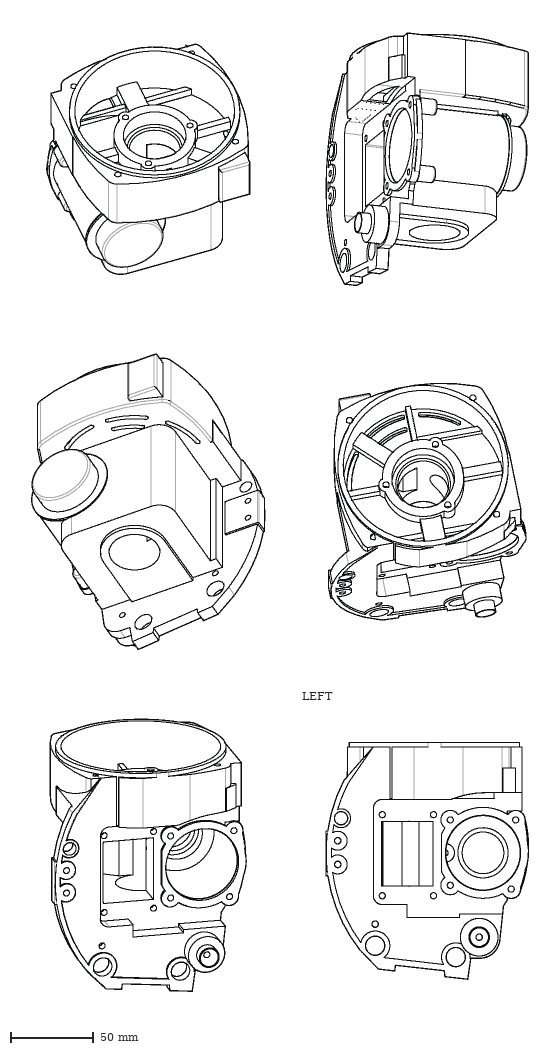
import cadquery as cq
import math


beyond = 72.0
overlap = 0.7

rim_top = 144.0
bowl_top = 141.3
bowl_bottom = 104.8
rim_radius = 51.8
bowl_inner_radius = 48.5
bowl_floor = 110.0
side_reach = 53.0
side_radius = 115.2
bowl_corner_radius = 7.2
bowl_edge_fillet = 1.3
left_flat = -51.7
left_flat_end = 12.1
shoulder_end = 25.9
shoulder_radius = 53.1
bowl_screw_offset = 38.2
bowl_screw_depth = 11.5
square_block_left = -37.7
side_face = -53.3

boss_top = 121.5
boss_radius = 24.8
boss_screw_circle = 22.9
boss_screw_angles = (90, 210, 330)
boss_lobe_radius = 4.5
boss_screw_depth = 8.6
bearing_radius = 19.0
bearing_floor = 110.0
bore_chamfer_diameter = 33.3
bore_diameter = 30.8
rib_top = 117.0
radial_ribs = ((0, 3.2), (45, 9.5), (90, 3.7), (180, 13.0), (270, 6.0))
left_rib_x = (-35.5, -32.4)
right_rib_x = (25.2, 28.7)
cross_rib_top = 115.2

slot_width = 2.7
arc_slots = ((45.0, 53.3, 85.4), (45.0, 5.3, 35.5), (36.7, 6.5, 33.9), (45.0, -39.5, -9.0))

plate_face = -45.6
plate_low_face = -44.4
plate_back = -37.9
plate_arc_radius = 95.3
plate_arc_top_angle = 27.5
plate_arc_bottom_angle = -38.4
rim_width = 3.2
screw_diameter = 3.7
plate_holes = (
    (56.7, 97.9, 7.9, 11.5),
    (58.8, 84.2, screw_diameter, 11.5),
    (58.8, 69.8, screw_diameter, 11.5),
    (36.0, 20.5, 11.5, 17.9),
    (-13.0, 13.5, 11.5, 17.3),
)
plate_pin_hole = (36.0, 33.5)
edge_pad_y = 66.0
edge_pad_fillet = 0.9
edge_pad_back = -36.7
edge_pad_start = 43.2
edge_pad_z = (63.0, 90.3)

recess_floor = -32.7
recess_side = 37.2
recess_bottom = 45.4
recess_top = 109.5
recess_raised_top = 113.5
recess_notch_y = (-15.1, 16.5)
recess_notch_bottom = 37.6
recess_front_bottom = 39.6
recess_sweep = ((-31.7, recess_raised_top), (-20.7, 112.5), (-10.4, recess_top))
recess_corner_radius = 5.8
wall_back = -29.5
wall_margin = 3.6
plate_right = -42.0
plate_top_y = 37.2
foot_outline = (
    (34.0, 6.2), (24.0, 5.0), (23.6, 8.5), (-5.9, 5.2), (-6.3, 1.6), (-20.3, 0), (-22.2, 12.8), (-28.7, 12.8),
)
pin_corner_middle = (-36.3, 16.4)
pin_corner_end = (-39.9, 24.5)
wall_step_z = (44.6, 48.2)
low_face_bottom = ((34.5, 13.7), (-11.5, 8.4), foot_outline[-2])
wall_right = -44.4
corner_bottom = 102.2
tie_start = 28.8

case_right = 28.8
case_front = -39.6
neck_front = -33.1
case_rear = 36.7
case_bottom = 36.5
case_corner_radius = 11.1
base_bottom = 34.0
base_radius = 20.7
window_y = (0.7, 32.3)
window_z = (56.6, 96.0)
window_screw_y = (0.6, 31.7)
window_screw_z = (50.8, 100.1)
window_screw_depth = 7.2
cavity_end = 15.8
cavity_slant = ((cavity_end, 9.5), (23.0, 19.6))
cavity_curve = ((18.7, 27.4), (7.2, 31.4))
cavity_step_x = -18.0
cavity_fillet = 0.7

barrel_y = -29.5
barrel_z = 76.9
barrel_radius = 25.0
collar_radius = 25.6
collar_start = 27.8
collar_end = 29.5
nose_radius = 19.7
nose_end = 41.8
nose_fillet = 1.2
barrel_bore_radius = 22.6
barrel_mouth_radius = 22.9
barrel_mouth_depth = 2.6
barrel_bore_end = 23.0
bearing_seats = ((30.5, 31.7), (25.3, 38.9))
end_pocket_radii = (5.6, 1.7)
end_pocket_depth = 5.0
end_pocket_y = -6.6
flange_face = -34.5
flange_radius = 27.6
flange_inner_limit = -4.2
flange_lobe_diameter = 11.5
flange_boss_diameter = 10.0
flange_boss_fillet = 1.2
flange_boss_end = -18.5
flange_screws = ((-49.4, 96.9), (-46.7, 54.9), (-9.6, 96.9), (-9.6, 57.2))
flange_screw_depth = 11.5
flange_front_inset = 0.7
web_top = 99.4
web_top_y = -54.7
web_bottom = 53.0
web_bottom_y = -52.0

pin_y = -27.2
pin_z = 25.6
pin_collar_diameter = 22.9
pin_collar_end = -53.5
pin_diameter = 12.5
pin_end = -59.9
pin_cone_radius = 5.6
pin_cone_depth = 5.8

outlet_root = 36.0
outlet_face = 54.6
outlet_y = (22.3, 41.8)
outlet_z = (108.3, 137.4)
outlet_fillet = 1.3
lug_outline = ((-45.4, -38.2), (-45.4, -41.8), (-39.7, -49.4), (-36.0, -49.4), (-36.0, -38.2))
lug_top = 128.3


def box(x_range, y_range, z_range):
    """Block between the given limits."""
    size = [high - low for low, high in (x_range, y_range, z_range)]
    corner = (x_range[0], y_range[0], z_range[0])
    return cq.Workplane("XY").box(*size, centered=False).translate(corner)


def cylinder_x(y, z, radius, start, end):
    """Cylinder along X."""
    return cq.Workplane("YZ", origin=(start, y, z)).circle(radius).extrude(end - start)


def cylinder_z(x, y, radius, start, end):
    """Cylinder along Z."""
    return cq.Workplane("XY", origin=(x, y, start)).circle(radius).extrude(end - start)


def cone_x(y, z, radii, start, length):
    """Cone along +X, given its start and end radii."""
    tip = cq.Vector(start, y, z)
    return cq.Workplane(cq.Solid.makeCone(*radii, length, tip, cq.Vector(1, 0, 0)))


def polar(radius, angle):
    """Point in the XY plane at a radius and an angle in degrees."""
    turn = math.radians(angle)
    return radius * math.cos(turn), radius * math.sin(turn)


def bowl_shell():
    """Four bowed sides, rounded corners, a flat and a shoulder on -X, a squared -Y side and a round rim."""
    heights = (bowl_bottom, bowl_top)
    body = box((-side_reach, side_reach), (-side_reach, side_reach), heights)
    offset = side_radius - side_reach
    for x, y in ((offset, 0), (-offset, 0), (0, offset), (0, -offset)):
        body = body.intersect(cylinder_z(x, y, side_radius, bowl_bottom, bowl_top))
    body = body.edges("|Z").fillet(bowl_corner_radius)
    body = body.union(box((square_block_left, 0), (side_face, 0), heights))
    body = body.faces("<Z").edges().fillet(bowl_edge_fillet)
    shoulder = box((-side_reach, plate_low_face), (left_flat_end, shoulder_end), heights)
    body = body.cut(shoulder.cut(cylinder_z(0, 0, shoulder_radius, *heights)))
    body = body.cut(box((-side_reach, plate_low_face), (shoulder_end, side_reach), heights))
    body = body.union(cylinder_z(0, 0, rim_radius, bowl_floor, rim_top))
    body = body.intersect(box((left_flat, side_reach), (side_face, side_reach), (0, rim_top)))
    return body.union(corner_lug())


def corner_lug():
    """Short post with a slanted outer face on the front left corner."""
    lug = cq.Workplane("XY", origin=(0, 0, recess_top)).polyline(lug_outline).close()
    return lug.extrude(lug_top - recess_top)


def outlet_pad():
    pad = box((outlet_root, outlet_face), outlet_y, outlet_z)
    return pad.edges(">X").fillet(outlet_fillet)


def bowl_interior():
    """Material removed from the bowl: the round cavity above the floor and the rim screw holes."""
    cavity = cylinder_z(0, 0, bowl_inner_radius, bowl_floor, rim_top)
    for x in (-bowl_screw_offset, bowl_screw_offset):
        for y in (-bowl_screw_offset, bowl_screw_offset):
            hole = cylinder_z(x, y, screw_diameter / 2, bowl_top - bowl_screw_depth, rim_top)
            cavity = cavity.union(hole)
    return cavity


def floor_details():
    """Bearing boss, radial ribs and the two ribs parallel to Y."""
    parts = cylinder_z(0, 0, boss_radius, bowl_bottom, boss_top)
    for angle in boss_screw_angles:
        x, y = polar(boss_screw_circle, angle)
        parts = parts.union(cylinder_z(x, y, boss_lobe_radius, bowl_bottom, boss_top))
    for angle, width in radial_ribs:
        rib = box((0, bowl_inner_radius + overlap), (-width / 2, width / 2), (bowl_bottom, rib_top))
        parts = parts.union(rib.rotate((0, 0, 0), (0, 0, 1), angle))
    inside = cylinder_z(0, 0, bowl_inner_radius + overlap, bowl_bottom, rim_top)
    left_rib = box(left_rib_x, (-bowl_inner_radius, bowl_inner_radius), (bowl_bottom, cross_rib_top))
    right_rib = box(right_rib_x, (-bowl_inner_radius, 0), (bowl_bottom, cross_rib_top))
    return parts.union(left_rib.union(right_rib).intersect(inside))


def boss_screw_holes():
    holes = cq.Workplane("XY")
    for angle in boss_screw_angles:
        x, y = polar(boss_screw_circle, angle)
        holes = holes.add(cylinder_z(x, y, screw_diameter / 2, boss_top - boss_screw_depth, boss_top))
    return holes.combine()


def arc_slot(radius, start, end):
    """Curved slot with round ends, through the bowl floor."""
    half = slot_width / 2
    middle = (start + end) / 2
    outer, inner = radius + half, radius - half
    slot = (
        cq.Workplane("XY", origin=(0, 0, bowl_bottom))
        .moveTo(*polar(inner, start))
        .threePointArc(polar(inner, middle), polar(inner, end))
        .lineTo(*polar(outer, end))
        .threePointArc(polar(outer, middle), polar(outer, start))
        .close()
        .extrude(bowl_floor - bowl_bottom)
    )
    for angle in (start, end):
        x, y = polar(radius, angle)
        slot = slot.union(cylinder_z(x, y, half, bowl_bottom, bowl_floor))
    return slot


def main_bore():
    """Bearing seat, its small chamfer and the bore straight through to the base."""
    bore_radius = bore_diameter / 2
    chamfer = (bore_chamfer_diameter - bore_diameter) / 2
    cone = cq.Workplane(cq.Solid.makeCone(
        bore_radius, bore_chamfer_diameter / 2, chamfer, cq.Vector(0, 0, bearing_floor - chamfer)))
    bore = cylinder_z(0, 0, bore_radius, 0, bearing_floor)
    return bore.union(cone).union(cylinder_z(0, 0, bearing_radius, bearing_floor, boss_top))


def plate_arc_point(radius, angle):
    """Point (y, z) on a circle about the barrel axis."""
    y, z = polar(radius, angle)
    return barrel_y + y, barrel_z + z


def plate_profile():
    """Plate outline: round on +Y, stepped foot below, tangent corner round under the pivot pin."""
    return (
        cq.Workplane("YZ", origin=(plate_face, 0, 0))
        .moveTo(plate_top_y, bowl_top)
        .lineTo(*plate_arc_point(plate_arc_radius, plate_arc_top_angle))
        .threePointArc(
            plate_arc_point(plate_arc_radius, 0),
            plate_arc_point(plate_arc_radius, plate_arc_bottom_angle))
        .polyline(foot_outline, includeCurrent=True)
        .threePointArc(pin_corner_middle, pin_corner_end)
        .lineTo(plate_right, wall_step_z[0])
        .lineTo(wall_right, wall_step_z[1])
        .lineTo(wall_right, recess_top)
        .lineTo(0, recess_top)
        .lineTo(0, bowl_top)
        .close()
    )


def plate_body():
    """Plate, the thicker wall behind the recess and the flat that ties the plate to the bowl."""
    plate = plate_profile().extrude(plate_back - plate_face)
    wall_y = (wall_right, recess_side + wall_margin)
    wall = plate_profile().extrude(wall_back - plate_face)
    wall = wall.intersect(box((plate_face, wall_back), wall_y, (case_bottom, recess_raised_top)))
    tie = plate_profile().extrude(-plate_face)
    tie = tie.intersect(box((plate_face, 0), (tie_start, -side_face), (bowl_bottom, bowl_top)))
    tie = tie.cut(cylinder_z(0, 0, bowl_inner_radius, 0, rim_top))
    corner = box((recess_floor, wall_back), (side_face, plate_right), (corner_bottom, recess_raised_top))
    pad = box((plate_face, edge_pad_back), (edge_pad_start, edge_pad_y), edge_pad_z)
    pad = pad.edges("|Z and >Y").fillet(edge_pad_fillet)
    return plate.union(wall).union(tie).union(corner).union(pad)


def low_face():
    """Shallow area of the plate face, leaving a raised rim, raised hole pads and a raised foot."""
    inner_radius = plate_arc_radius - rim_width
    depth = plate_low_face - plate_face
    area = (
        cq.Workplane("YZ", origin=(plate_face, 0, 0))
        .moveTo(plate_top_y, bowl_top)
        .lineTo(*plate_arc_point(inner_radius, plate_arc_top_angle))
        .threePointArc(
            plate_arc_point(inner_radius, 0),
            plate_arc_point(inner_radius, plate_arc_bottom_angle))
        .polyline(low_face_bottom, includeCurrent=True)
        .lineTo(-beyond, foot_outline[-1][1])
        .lineTo(-beyond, bowl_top)
        .close()
        .extrude(depth)
    )
    for y, z, _, pad_diameter in plate_holes:
        area = area.cut(cylinder_x(y, z, pad_diameter / 2, plate_face, plate_low_face))
    return area


def recess():
    """Deep recess of the plate; its ceiling sweeps up under the bowl towards -Y."""
    return (
        cq.Workplane("YZ", origin=(-beyond, 0, 0))
        .moveTo(recess_side, recess_bottom + recess_corner_radius)
        .radiusArc((recess_side - recess_corner_radius, recess_bottom), recess_corner_radius)
        .lineTo(recess_notch_y[1], recess_bottom)
        .lineTo(recess_notch_y[1], recess_notch_bottom)
        .lineTo(recess_notch_y[0], recess_notch_bottom)
        .lineTo(recess_notch_y[0], recess_front_bottom)
        .lineTo(-beyond, recess_front_bottom)
        .lineTo(-beyond, recess_raised_top)
        .lineTo(*recess_sweep[0])
        .threePointArc(recess_sweep[1], recess_sweep[2])
        .lineTo(recess_side - recess_corner_radius, recess_top)
        .radiusArc((recess_side, recess_top - recess_corner_radius), recess_corner_radius)
        .close()
        .extrude(recess_floor + beyond)
    )


def plate_hole_tools():
    y, z = plate_pin_hole
    holes = cylinder_x(y, z, screw_diameter / 2, plate_face, plate_back)
    for y, z, diameter, _ in plate_holes:
        holes = holes.union(cylinder_x(y, z, diameter / 2, plate_face, edge_pad_back))
    return holes


def gear_case():
    """Case with rounded vertical edges, a set-back neck under the bowl and a thin base with a round end."""
    case = box((recess_floor, case_right), (case_front, case_rear), (case_bottom, bowl_bottom))
    case = case.edges("|Z and >X").fillet(case_corner_radius)
    case = case.cut(box((wall_back, case_right), (case_front, neck_front), (barrel_z, bowl_bottom)))
    neck = box((0, case_right), (neck_front, 0), (barrel_z, bowl_bottom))
    base = cylinder_z(0, 0, base_radius, base_bottom, case_bottom)
    tail = box((plate_back, 0), (-base_radius, base_radius), (base_bottom, case_bottom))
    return case.union(neck).union(base).union(tail)


def gear_cavity():
    """Cavity behind the window, with a curved and a slanted far wall, and the window screw holes."""
    low, high = window_y
    cavity = (
        cq.Workplane("XY", origin=(0, 0, window_z[0]))
        .moveTo(flange_face, low)
        .lineTo(cavity_end, low)
        .lineTo(*cavity_slant[0])
        .lineTo(*cavity_slant[1])
        .threePointArc(cavity_curve[0], cavity_curve[1])
        .lineTo(cavity_step_x, cavity_curve[1][1])
        .lineTo(cavity_step_x, high)
        .lineTo(flange_face, high)
        .close()
        .extrude(window_z[1] - window_z[0])
        .faces(">Y").edges().fillet(cavity_fillet)
    )
    for y in window_screw_y:
        for z in window_screw_z:
            hole = cylinder_x(y, z, screw_diameter / 2, recess_floor, recess_floor + window_screw_depth)
            cavity = cavity.union(hole)
    return cavity


def flange_web(front, back, inset):
    """Bowed web joining the two outer lobes of the flange."""
    outer = barrel_y - flange_radius + inset
    return (
        cq.Workplane("YZ", origin=(front, 0, 0))
        .moveTo(barrel_y, web_top)
        .lineTo(web_top_y + inset, web_top)
        .threePointArc((outer, barrel_z), (web_bottom_y + inset, web_bottom))
        .lineTo(barrel_y, web_bottom)
        .close()
        .extrude(back - front)
    )


def barrel_body():
    """Barrel with its end collar, nose, mounting flange and screw bosses."""
    nose = cylinder_x(barrel_y, barrel_z, nose_radius, 0, nose_end).faces(">X").edges().fillet(nose_fillet)
    barrel = cylinder_x(barrel_y, barrel_z, barrel_radius, wall_back, collar_end)
    collar = cylinder_x(barrel_y, barrel_z, collar_radius, collar_start, collar_end)
    flange = cylinder_x(barrel_y, barrel_z, flange_radius, flange_face, wall_back)
    flange = flange.intersect(box((flange_face, wall_back), (-beyond, flange_inner_limit), (0, rim_top)))
    flange = flange.union(flange_web(recess_floor, wall_back, 0))
    flange = flange.union(flange_web(flange_face, recess_floor, flange_front_inset))
    body = barrel.union(collar).union(nose).union(flange)
    for y, z in flange_screws:
        body = body.union(cylinder_x(y, z, flange_lobe_diameter / 2, flange_face, wall_back))
        boss = cylinder_x(y, z, flange_boss_diameter / 2, flange_face, flange_boss_end)
        body = body.union(boss.faces(">X").edges().fillet(flange_boss_fillet))
    return body


def barrel_bore():
    """Stepped blind bore of the barrel, the pocket in its end wall and the flange screw holes."""
    mouth_end = flange_face + barrel_mouth_depth
    bore = cylinder_x(barrel_y, barrel_z, barrel_mouth_radius, flange_face, mouth_end)
    bore = bore.union(cylinder_x(barrel_y, barrel_z, barrel_bore_radius, flange_face, barrel_bore_end))
    for diameter, end in bearing_seats:
        bore = bore.union(cylinder_x(barrel_y, barrel_z, diameter / 2, 0, end))
    bore = bore.union(cone_x(end_pocket_y, barrel_z, end_pocket_radii, barrel_bore_end, end_pocket_depth))
    for y, z in flange_screws:
        hole = cylinder_x(y, z, screw_diameter / 2, flange_face, flange_face + flange_screw_depth)
        bore = bore.union(hole)
    return bore


def pivot_pin():
    collar = cylinder_x(pin_y, pin_z, pin_collar_diameter / 2, pin_collar_end, plate_back)
    return collar.union(cylinder_x(pin_y, pin_z, pin_diameter / 2, pin_end, plate_back))


def pivot_pin_hole():
    """Through hole with a conical mouth."""
    cone = cone_x(pin_y, pin_z, (pin_cone_radius, screw_diameter / 2), pin_end, pin_cone_depth)
    return cone.union(cylinder_x(pin_y, pin_z, screw_diameter / 2, pin_end, plate_back))


upper = bowl_shell().union(outlet_pad()).cut(bowl_interior()).union(floor_details())
left_clearance = box((-beyond, recess_floor), (-beyond, beyond), (0, recess_top))
upper = upper.cut(left_clearance)
plate = plate_body().cut(low_face())
plate = plate.cut(cylinder_z(0, 0, bowl_inner_radius, bowl_floor, rim_top))

result = upper.union(plate).union(gear_case()).cut(recess())
result = result.union(barrel_body()).union(pivot_pin())
result = result.cut(gear_cavity()).cut(barrel_bore()).cut(main_bore())
result = result.cut(plate_hole_tools()).cut(pivot_pin_hole()).cut(boss_screw_holes())
for slot in arc_slots:
    result = result.cut(arc_slot(*slot))